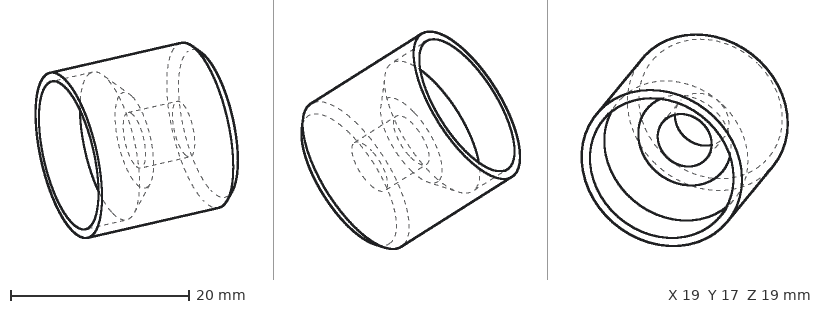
import cadquery as cq

outer_diameter = 19.0
length = 17.0
rear_chamfer = 1.0

bore_diameter = 17.0
bore_depth = 5.0
floor_diameter = 11.0
cone_depth = (bore_diameter - floor_diameter) / 2
floor_depth = bore_depth + cone_depth

hole_diameter = 6.38
hole_depth = 6.0

outer_radius = outer_diameter / 2
bore_radius = bore_diameter / 2
floor_radius = floor_diameter / 2
hole_radius = hole_diameter / 2
front_y = -length / 2
rear_y = length / 2
floor_y = front_y + floor_depth
hole_end_y = floor_y + hole_depth

half_section = (
    cq.Workplane("XY")
    .moveTo(0, rear_y)
    .lineTo(outer_radius - rear_chamfer, rear_y)
    .lineTo(outer_radius, rear_y - rear_chamfer)
    .lineTo(outer_radius, front_y)
    .lineTo(bore_radius, front_y)
    .lineTo(bore_radius, front_y + bore_depth)
    .lineTo(floor_radius, floor_y)
    .lineTo(hole_radius, floor_y)
    .lineTo(hole_radius, hole_end_y)
    .lineTo(0, hole_end_y)
    .close()
)

result = half_section.revolve(360, (0, 0, 0), (0, 1, 0))